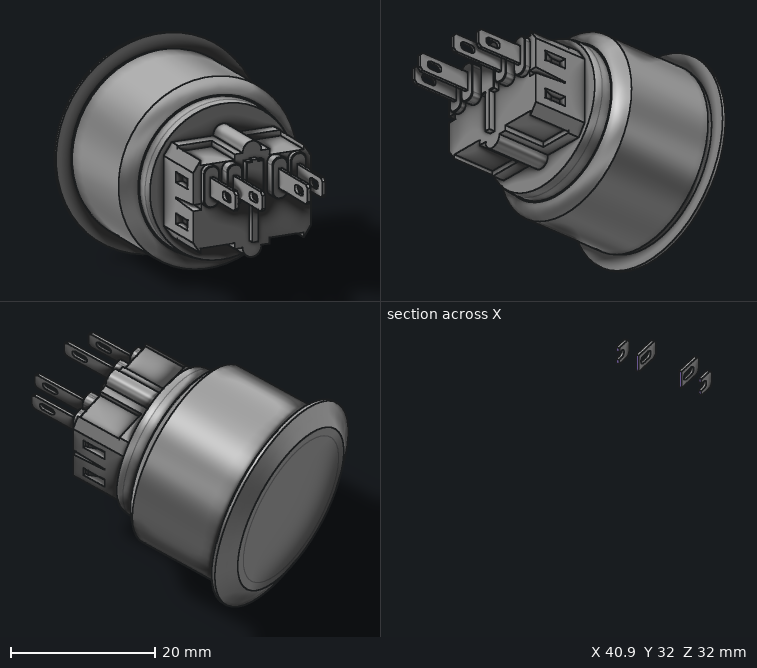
import cadquery as cq
rim_front_x = 1.55
flange_rear_x = 2.1
body_front_x = 3.0
shoulder_start_x = 17.05
neck_front_x = 18.75
neck_rounding_x = 20.4
neck_rear_x = 21.55
block_rear_x = 30.5

cap_radius = 22.8 / 2
bezel_front_radius = 25.4 / 2
flange_radius = 32.0 / 2
body_radius = 27.9 / 2
groove_mid_x = (flange_rear_x + body_front_x) / 2
groove_radius = 13.47
groove_edge_radius = 13.68
shoulder_mid_x = 18.05
shoulder_mid_radius = 12.95
shoulder_end_radius = 11.75
neck_radius = 23.1 / 2
neck_rear_radius = 11.35

block_half_width = 9.2
block_half_height = 6.9
block_flat_half_width = 7.95
block_side_half_height = 5.1
key_radius = 1.45
key_center_z = 7.0

pocket_front_x = 23.5
pocket_inner_y = 2.73
pocket_outer_y = 8.05
pocket_depth = 0.85

window_front_x = 25.15
window_rear_x = window_front_x + 3.6
window_height = 1.5
window_center_z = 3.02
window_depth = 1.1
ramp_front_x = window_front_x + 1.55
ramp_rear_x = window_front_x + 3.1
ramp_height = 0.7
notch_half_height = 0.46
notch_tip_half_height = 0.08
notch_depth = 1.3

terminal_center_z = 3.0
inner_terminal_y = 3.53
outer_terminal_y = 6.78
collar_height = 6.0
collar_width = 2.35
collar_end_flat = 0.3
collar_chamfer = 0.1
collar_short_rear_x = 31.45
collar_tall_rear_x = 32.15
blade_height = 2.85
blade_thickness = 0.5
blade_corner_chamfer = 0.45
outer_blade_rear_x = 39.1
inner_blade_rear_x = 40.9
eye_length = 2.5
eye_width = 1.2
eye_center_setback = 2.62

middle_collar_width = 2.7
middle_collar_height = 5.6
rib_width = 0.9
rib_height = 12.0


def box_between(x0, x1, y0, y1, z0, z1):
    return cq.Workplane("XY").box(x1 - x0, y1 - y0, z1 - z0, centered=False).translate((x0, y0, z0))


def make_housing():
    """Flange, groove, body and neck, turned about X, with the bore for the front cap."""
    profile = (
        cq.Workplane("XY")
        .moveTo(0, 0)
        .lineTo(0, bezel_front_radius)
        .lineTo(rim_front_x, flange_radius)
        .lineTo(flange_rear_x, flange_radius)
        .lineTo(flange_rear_x, groove_edge_radius)
        .threePointArc((groove_mid_x, groove_radius), (body_front_x, groove_edge_radius))
        .lineTo(body_front_x, body_radius)
        .lineTo(shoulder_start_x, body_radius)
        .threePointArc((shoulder_mid_x, shoulder_mid_radius), (neck_front_x, shoulder_end_radius))
        .lineTo(neck_front_x, neck_radius)
        .lineTo(neck_rounding_x, neck_radius)
        .tangentArcPoint((neck_rear_x, neck_rear_radius), relative=False)
        .lineTo(neck_rear_x, 0)
        .close()
    )
    return profile.revolve(360, (0, 0, 0), (1, 0, 0))


def make_cap():
    """Actuator cap filling the bezel, flush with its front face."""
    return cq.Workplane("YZ").circle(cap_radius).extrude(flange_rear_x)


def make_block():
    length = block_rear_x - neck_rear_x
    base = cq.Workplane("YZ").workplane(offset=neck_rear_x)
    block = base.polyline([
        (-block_half_width, -block_side_half_height),
        (-block_flat_half_width, -block_half_height),
        (block_flat_half_width, -block_half_height),
        (block_half_width, -block_side_half_height),
        (block_half_width, block_side_half_height),
        (block_flat_half_width, block_half_height),
        (-block_flat_half_width, block_half_height),
        (-block_half_width, block_side_half_height),
    ]).close().extrude(length)
    keys = base.pushPoints([(0, key_center_z), (0, -key_center_z)]).circle(key_radius).extrude(length)
    return block.union(keys)


def make_pocket():
    """Pocket in the top of the block on the -Y side, open at the rear."""
    return box_between(
        pocket_front_x, block_rear_x,
        -pocket_outer_y, -pocket_inner_y,
        block_half_height - pocket_depth, block_half_height,
    )


def make_window(center_z):
    """Latch window in the -Y side, its floor rising in a ramp to a level land at the rear."""
    floor_y = -block_half_width + window_depth
    bottom_z = center_z - window_height / 2
    opening = box_between(
        window_front_x, window_rear_x,
        -block_half_width, floor_y,
        bottom_z, bottom_z + window_height,
    )
    ramp = (
        cq.Workplane("XY", origin=(0, 0, bottom_z))
        .polyline([
            (ramp_front_x, floor_y),
            (window_rear_x, floor_y),
            (window_rear_x, floor_y - ramp_height),
            (ramp_rear_x, floor_y - ramp_height),
        ])
        .close()
        .extrude(window_height)
    )
    return opening.cut(ramp)


def make_notch():
    """Tapered notch in the -Y side, widening toward the rear face."""
    return (
        cq.Workplane("XZ", origin=(0, -block_half_width + notch_depth, 0))
        .polyline([
            (window_front_x, -notch_tip_half_height),
            (window_front_x, notch_tip_half_height),
            (block_rear_x, notch_half_height),
            (block_rear_x, -notch_half_height),
        ])
        .close()
        .extrude(notch_depth)
    )


def cut_block_details(block):
    for pocket in (make_pocket(), make_pocket().mirror("XZ")):
        block = block.cut(pocket).cut(pocket.mirror("XY"))
    for cutter in (make_window(window_center_z), make_window(-window_center_z), make_notch()):
        block = block.cut(cutter).cut(cutter.mirror("XZ"))
    return block


def make_collar(center_y, rear_x):
    """Upright collar with rounded ends around the root of a blade."""
    corner_radius = (collar_width - collar_end_flat) / 2
    return (
        cq.Workplane("YZ", origin=(block_rear_x, center_y, terminal_center_z))
        .rect(collar_width, collar_height)
        .extrude(rear_x - block_rear_x)
        .edges("|X").fillet(corner_radius)
        .faces(">X").chamfer(collar_chamfer)
    )


def make_blade(center_y, rear_x):
    """Solder blade with chamfered tip corners and an oblong eye."""
    blade = box_between(
        block_rear_x, rear_x,
        center_y - blade_thickness / 2, center_y + blade_thickness / 2,
        terminal_center_z - blade_height / 2, terminal_center_z + blade_height / 2,
    ).edges("|Y and >X").chamfer(blade_corner_chamfer)
    eye = (
        cq.Workplane("XZ", origin=(rear_x - eye_center_setback, center_y, terminal_center_z))
        .slot2D(eye_length, eye_width)
        .extrude(blade_thickness, both=True)
    )
    return blade.cut(eye)


def make_middle_collar():
    length = collar_short_rear_x - block_rear_x
    collar = (
        cq.Workplane("YZ", origin=(block_rear_x, 0, terminal_center_z))
        .rect(middle_collar_width, middle_collar_height)
        .extrude(length)
        .faces(">X").chamfer(collar_chamfer)
    )
    rib = cq.Workplane("YZ", origin=(block_rear_x, 0, 0)).rect(rib_width, rib_height).extrude(length)
    return collar.union(rib)


housing = make_housing().cut(make_cap())
rear = cut_block_details(make_block()).union(make_middle_collar())
for side in (-1, 1):
    for terminal_y, collar_rear_x, blade_rear_x in (
        (inner_terminal_y, collar_tall_rear_x, inner_blade_rear_x),
        (outer_terminal_y, collar_short_rear_x, outer_blade_rear_x),
    ):
        rear = rear.union(make_collar(side * terminal_y, collar_rear_x))
        rear = rear.union(make_blade(side * terminal_y, blade_rear_x))

result = housing.union(rear).union(make_cap(), clean=False)